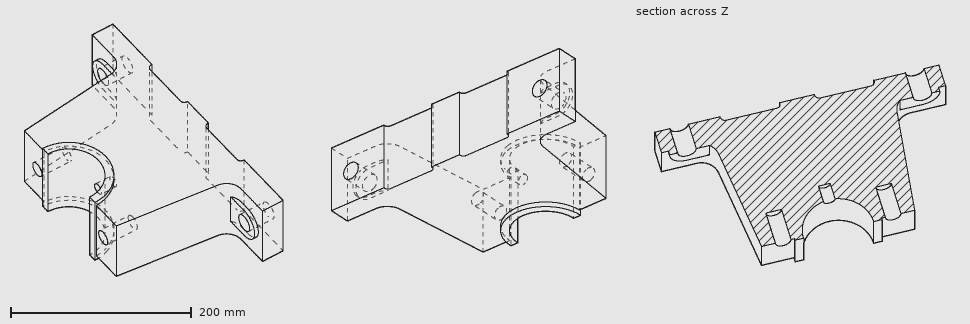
import cadquery as cq

flange_length = 326.0
flange_thickness = 28.0
body_height = 82.0

overall_depth = 175.0
front_setback = 2.0
body_depth = overall_depth - front_setback
front_width = 176.0
root_width = 209.0
root_fillet = 20.0

shell_radius = 50.0
bore_radius = 40.0
shell_height = 94.0

recess_inner_x = 20.0
recess_outer_x = front_width / 2
recess_depth = 6.0
recess_fillet = 5.0

bolt_x = 135.0
bolt_hole_diameter = 21.0
pad_radius = 20.0
pad_thickness = 5.0
pad_inner_x = root_width / 2

cap_hole_x = 63.0
cap_hole_diameter = 17.5
cap_hole_depth = 40.0
oil_hole_diameter = 13.0
oil_hole_depth = 20.0

SIDES = (-1, 1)


def centred_prism(sketch, height):
    """Extrude an XY outline to the given height, centred on z = 0."""
    return sketch.extrude(height).translate((0, 0, -height / 2))


def hole_tool(x, start_y, diameter, depth):
    """Cylinder running toward +Y from start_y, at mid height."""
    plane = cq.Workplane("XZ", origin=(x, start_y, 0))
    return plane.circle(diameter / 2).extrude(-depth)


def make_body():
    outline = cq.Workplane("XY").polyline([
        (-flange_length / 2, 0),
        (flange_length / 2, 0),
        (flange_length / 2, -flange_thickness),
        (root_width / 2, -flange_thickness),
        (front_width / 2, -body_depth),
        (-front_width / 2, -body_depth),
        (-root_width / 2, -flange_thickness),
        (-flange_length / 2, -flange_thickness),
    ]).close()
    body = centred_prism(outline, body_height)
    for side in SIDES:
        root = cq.selectors.NearestToPointSelector((side * root_width / 2, -flange_thickness, 0))
        body = body.edges("|Z").edges(root).fillet(root_fillet)
    return body


def make_shell():
    """Half disc of the bearing shell, before boring."""
    outline = (
        cq.Workplane("XY", origin=(0, -overall_depth, 0))
        .moveTo(-shell_radius, 0)
        .threePointArc((0, shell_radius), (shell_radius, 0))
        .close()
    )
    return centred_prism(outline, shell_height)


def make_bore():
    outline = cq.Workplane("XY", origin=(0, -overall_depth, 0)).circle(bore_radius)
    return centred_prism(outline, shell_height)


def make_recess(side):
    """Full-height recess in the back face, with rounded floor corners."""
    width = recess_outer_x - recess_inner_x
    centre_x = side * (recess_inner_x + recess_outer_x) / 2
    outline = cq.Workplane("XY", origin=(centre_x, -recess_depth / 2, 0)).rect(width, recess_depth)
    return centred_prism(outline, body_height).edges("|Z and <Y").fillet(recess_fillet)


def make_pad(side):
    """Raised pad: round outboard end, straight sides running into the root fillet."""
    outline = (
        cq.Workplane("XZ", origin=(0, -flange_thickness, 0))
        .moveTo(side * pad_inner_x, pad_radius)
        .lineTo(side * bolt_x, pad_radius)
        .threePointArc((side * (bolt_x + pad_radius), 0), (side * bolt_x, -pad_radius))
        .lineTo(side * pad_inner_x, -pad_radius)
        .close()
    )
    return outline.extrude(pad_thickness)


result = make_body().union(make_shell()).cut(make_bore())

pad_face_y = -flange_thickness - pad_thickness
for side in SIDES:
    result = result.union(make_pad(side))
    result = result.cut(hole_tool(side * bolt_x, pad_face_y, bolt_hole_diameter, abs(pad_face_y)))
    result = result.cut(hole_tool(side * cap_hole_x, -body_depth, cap_hole_diameter, cap_hole_depth))
    result = result.cut(make_recess(side))

result = result.cut(hole_tool(0, -overall_depth, oil_hole_diameter, bore_radius + oil_hole_depth))